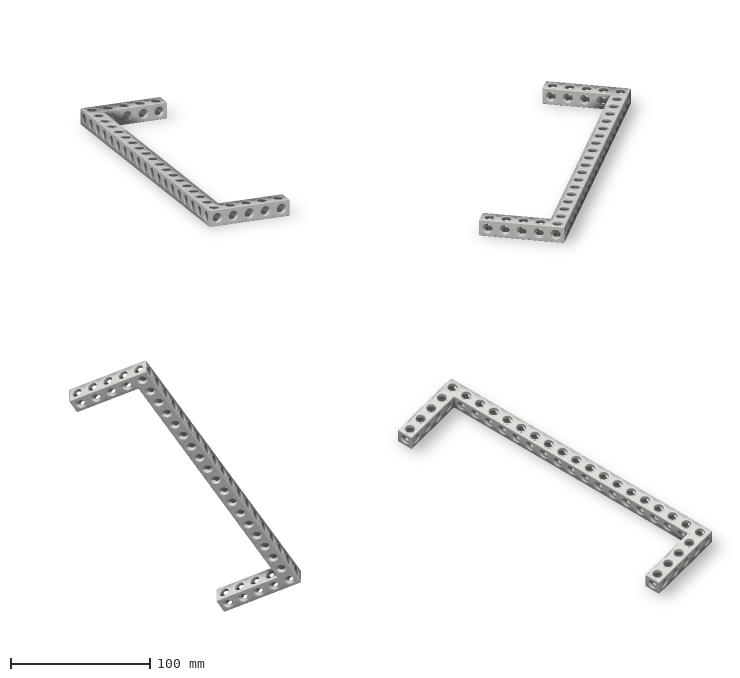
import cadquery as cq

PITCH = 12.5
LONG_HOLES = 19
ARM_HOLES = 5
HOLE_DIAMETER = 7.0
CHAMFER = 0.3
WALL = 1.1
RECESS_DEPTH = 0.2
RIB_WIDTH = 0.1

LENGTH = LONG_HOLES * PITCH
ARM_LENGTH = ARM_HOLES * PITCH
HALF = PITCH / 2
BORDER_DIAMETER = HOLE_DIAMETER + 2 * WALL
RECESS_FLOOR = PITCH - RECESS_DEPTH

LONG_POSITIONS = [HALF + i * PITCH for i in range(LONG_HOLES)]
ARM_POSITIONS = [HALF + i * PITCH for i in range(ARM_HOLES)]
BEAM_CENTRES = [(x, HALF) for x in LONG_POSITIONS]
ARM_CENTRES = [(x, y) for x in (LONG_POSITIONS[0], LONG_POSITIONS[-1]) for y in ARM_POSITIONS[1:]]
TOP_CENTRES = BEAM_CENTRES + ARM_CENTRES

X_AXIS = cq.Vector(1, 0, 0)
Y_AXIS = cq.Vector(0, 1, 0)
Z_AXIS = cq.Vector(0, 0, 1)


def u_prism(inset, bottom, height):
    """U-shaped prism, open toward +Y, with its outline moved inward by inset."""
    left = inset
    right = LENGTH - inset
    front = inset
    back = ARM_LENGTH - inset
    arm_edge = PITCH - inset
    outline = [
        (left, front),
        (right, front),
        (right, back),
        (LENGTH - arm_edge, back),
        (LENGTH - arm_edge, arm_edge),
        (arm_edge, arm_edge),
        (arm_edge, back),
        (left, back),
    ]
    return cq.Workplane("XY").workplane(offset=bottom).polyline(outline).close().extrude(height)


def chamfered_bore(start, axis, length):
    """Cutters for a through hole with a chamfer at both rims."""
    radius = HOLE_DIAMETER / 2
    rim_radius = radius + CHAMFER
    end = start + axis * length
    return [
        cq.Solid.makeCylinder(radius, length, start, axis),
        cq.Solid.makeCone(rim_radius, radius, CHAMFER, start, axis),
        cq.Solid.makeCone(rim_radius, radius, CHAMFER, end, axis * -1),
    ]


def z_bores():
    """Holes along Z through the beam and both arms."""
    cutters = []
    for x, y in TOP_CENTRES:
        cutters += chamfered_bore(cq.Vector(x, y, 0), Z_AXIS, PITCH)
    return cutters


def y_bores():
    """Holes along Y: across the beam, and at both ends along the whole arm."""
    cutters = []
    for x in LONG_POSITIONS[1:-1]:
        cutters += chamfered_bore(cq.Vector(x, 0, HALF), Y_AXIS, PITCH)
    for x in (LONG_POSITIONS[0], LONG_POSITIONS[-1]):
        cutters += chamfered_bore(cq.Vector(x, 0, HALF), Y_AXIS, ARM_LENGTH)
    return cutters


def x_bores():
    """Holes along X: one along the whole beam, the others across each arm."""
    cutters = chamfered_bore(cq.Vector(0, HALF, HALF), X_AXIS, LENGTH)
    for arm_side in (0, LENGTH - PITCH):
        for y in ARM_POSITIONS[1:]:
            cutters += chamfered_bore(cq.Vector(arm_side, y, HALF), X_AXIS, PITCH)
    return cutters


def top_recess():
    """Cutter for the top recess: an inset U minus round borders and one fine rib."""
    borders = [
        cq.Solid.makeCylinder(BORDER_DIAMETER / 2, RECESS_DEPTH, cq.Vector(x, y, RECESS_FLOOR), Z_AXIS)
        for x, y in TOP_CENTRES
    ]
    rib_centre = (LENGTH - PITCH, HALF, RECESS_FLOOR + RECESS_DEPTH / 2)
    rib = cq.Workplane("XY").box(PITCH, RIB_WIDTH, RECESS_DEPTH).translate(rib_centre)
    return u_prism(WALL, RECESS_FLOOR, RECESS_DEPTH).val().cut(*borders, rib.val())


frame = u_prism(0, 0, PITCH).edges().chamfer(CHAMFER)
cutters = z_bores() + y_bores() + x_bores() + [top_recess()]
result = cq.Workplane(frame.val().cut(*cutters)).solids()